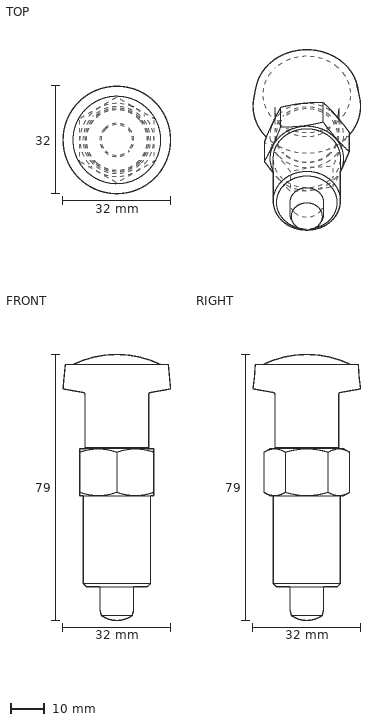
import cadquery as cq
import math

HEX_HEIGHT = 14.0
HEX_TO_KNOB_RIM = 25.0
DOME_HEIGHT = 3.0
BODY_LENGTH = 27.0
PIN_LENGTH = 10.0

BODY_DIAMETER = 20.0
BODY_CHAMFER = 1.0
PIN_DIAMETER = 10.0
PIN_TIP_DIAMETER = 9.2
PIN_TAPER_LENGTH = 1.5
PIN_DOME_HEIGHT = 1.5

HEX_SIDES = 6
HEX_ACROSS_FLATS = 22.0
HEX_CHAMFER_DIAMETER = 21.8
HEX_CHAMFER_ANGLE = 30.0

SLEEVE_DIAMETER = 19.0
SLEEVE_CHAMFER = 0.4
KNOB_DIAMETER = 32.0
KNOB_TOP_DIAMETER = 30.65
KNOB_RIM_HEIGHT = 7.3
KNOB_EDGE_RADIUS = 0.25
DOME_DIAMETER = 26.0
KNOB_UNDERSIDE_ANGLE = 10.0
NECK_FILLET = 0.5

EDGE_TOLERANCE = 0.001

body_bottom = -BODY_LENGTH
pin_bottom = body_bottom - PIN_LENGTH
knob_rim_top = HEX_HEIGHT + HEX_TO_KNOB_RIM
knob_top = knob_rim_top + DOME_HEIGHT


def dome_midpoint(base_radius, base_z, height):
    """Point halfway along the arc from the rim of a spherical cap to its apex.

    A negative height gives a cap that bulges downward.
    """
    sphere_radius = (base_radius**2 + height**2) / (2 * abs(height))
    half_angle = math.asin(base_radius / sphere_radius) / 2
    drop = sphere_radius * (1 - math.cos(half_angle))
    apex_z = base_z + height
    return sphere_radius * math.sin(half_angle), apex_z - math.copysign(drop, height)


def revolve_profile(profile):
    """Turn a closed (radius, Z) outline about the Z axis."""
    return profile.revolve(360, (0, 0, 0), (0, 1, 0))


def fillet_circle(solid, radius, z, fillet_radius):
    """Round the circular edge of the given radius at level z, centred on the Z axis."""

    def is_wanted(edge):
        same_radius = math.isclose(edge.radius(), radius, abs_tol=EDGE_TOLERANCE)
        return same_radius and math.isclose(edge.Center().z, z, abs_tol=EDGE_TOLERANCE)

    wanted_edges = [edge for edge in solid.edges("%CIRCLE").vals() if is_wanted(edge)]
    return solid.newObject(wanted_edges).fillet(fillet_radius)


def make_body_and_pin():
    body_radius = BODY_DIAMETER / 2
    pin_radius = PIN_DIAMETER / 2
    tip_radius = PIN_TIP_DIAMETER / 2
    tip_z = pin_bottom + PIN_DOME_HEIGHT
    profile = (
        cq.Workplane("XZ")
        .moveTo(0, 0)
        .lineTo(body_radius, 0)
        .lineTo(body_radius, body_bottom + BODY_CHAMFER)
        .lineTo(body_radius - BODY_CHAMFER, body_bottom)
        .lineTo(pin_radius, body_bottom)
        .lineTo(pin_radius, tip_z + PIN_TAPER_LENGTH)
        .lineTo(tip_radius, tip_z)
        .threePointArc(dome_midpoint(tip_radius, tip_z, -PIN_DOME_HEIGHT), (0, pin_bottom))
        .close()
    )
    return revolve_profile(profile)


def make_hexagon():
    """Hexagon prism whose corners are turned off conically at both ends."""
    corner_diameter = HEX_ACROSS_FLATS / math.cos(math.pi / HEX_SIDES)
    prism = (
        cq.Workplane("XY")
        .polygon(HEX_SIDES, corner_diameter)
        .extrude(HEX_HEIGHT)
        .rotate((0, 0, 0), (0, 0, 1), 180 / HEX_SIDES)
    )
    face_radius = HEX_CHAMFER_DIAMETER / 2
    corner_radius = corner_diameter / 2
    chamfer_height = (corner_radius - face_radius) * math.tan(math.radians(HEX_CHAMFER_ANGLE))
    profile = (
        cq.Workplane("XZ")
        .moveTo(0, 0)
        .lineTo(face_radius, 0)
        .lineTo(corner_radius, chamfer_height)
        .lineTo(corner_radius, HEX_HEIGHT - chamfer_height)
        .lineTo(face_radius, HEX_HEIGHT)
        .lineTo(0, HEX_HEIGHT)
        .close()
    )
    return prism.intersect(revolve_profile(profile))


def make_knob():
    sleeve_radius = SLEEVE_DIAMETER / 2
    dome_radius = DOME_DIAMETER / 2
    top_radius = KNOB_TOP_DIAMETER / 2
    rim_radius = KNOB_DIAMETER / 2
    rim_bottom = knob_rim_top - KNOB_RIM_HEIGHT
    underside_drop = (rim_radius - sleeve_radius) * math.tan(math.radians(KNOB_UNDERSIDE_ANGLE))
    neck_z = rim_bottom - underside_drop
    profile = (
        cq.Workplane("XZ")
        .moveTo(0, HEX_HEIGHT)
        .lineTo(sleeve_radius - SLEEVE_CHAMFER, HEX_HEIGHT)
        .lineTo(sleeve_radius, HEX_HEIGHT + SLEEVE_CHAMFER)
        .lineTo(sleeve_radius, neck_z)
        .lineTo(rim_radius, rim_bottom)
        .lineTo(top_radius, knob_rim_top)
        .lineTo(dome_radius, knob_rim_top)
        .threePointArc(dome_midpoint(dome_radius, knob_rim_top, DOME_HEIGHT), (0, knob_top))
        .close()
    )
    knob = revolve_profile(profile)
    knob = fillet_circle(knob, top_radius, knob_rim_top, KNOB_EDGE_RADIUS)
    knob = fillet_circle(knob, rim_radius, rim_bottom, KNOB_EDGE_RADIUS)
    return fillet_circle(knob, sleeve_radius, neck_z, NECK_FILLET)


result = make_body_and_pin().union(make_hexagon()).union(make_knob())